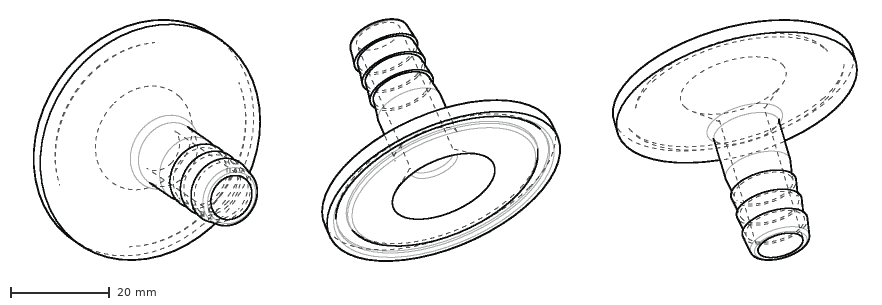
import cadquery as cq
import math


flange_radius = 50.4 / 2
rim_width = 2.9
back_cone_end = 9.5
neck_fillet = 1.6

length = 38.1
tail_radius = 13.7 / 2
barb_start = 19.85
barb_count = 4
barb_pitch = (length - barb_start) / barb_count
barb_root_radius = 6.15
tip_fillet = 0.75

bore_radius = 9.4 / 2
mouth_radius = 11.1
mouth_blend = 1.5
mouth_angle = math.radians(45)

groove_inner_radius = 19.85
groove_outer_radius = 23.85
groove_radius = (groove_inner_radius + groove_outer_radius) / 2
groove_half_width = (groove_outer_radius - groove_inner_radius) / 2
groove_lip_fillet = 0.8
groove_floor_radius = 1.15
groove_wall_draft = math.radians(20)


def revolve_about_x(profile):
    """Turn a closed (axial, radial) profile around the X axis."""
    return profile.close().revolve(360, (0, 0, 0), (1, 0, 0))


def fitting_body():
    profile = (
        cq.Workplane("XY")
        .lineTo(0, flange_radius)
        .lineTo(rim_width, flange_radius)
        .lineTo(back_cone_end, tail_radius)
        .lineTo(barb_start, tail_radius)
    )
    for barb in range(1, barb_count + 1):
        barb_end = barb_start + barb * barb_pitch
        profile = profile.lineTo(barb_end, barb_root_radius)
        if barb < barb_count:
            profile = profile.lineTo(barb_end, tail_radius)
    body = revolve_about_x(profile.lineTo(length, 0))
    neck_corner = cq.selectors.NearestToPointSelector((back_cone_end, 0, 0))
    body = body.edges(neck_corner).fillet(neck_fillet)
    return body.edges(">X").fillet(tip_fillet)


def bore():
    blend_drop = mouth_blend * (1 - math.cos(mouth_angle))
    blend_reach = mouth_blend * math.sin(mouth_angle)
    cone_end_radius = bore_radius + blend_drop
    cone_depth = (mouth_radius - cone_end_radius) / math.tan(mouth_angle)
    profile = (
        cq.Workplane("XY")
        .lineTo(0, mouth_radius)
        .lineTo(cone_depth, cone_end_radius)
        .radiusArc((cone_depth + blend_reach, bore_radius), -mouth_blend)
        .lineTo(length, bore_radius)
        .lineTo(length, 0)
    )
    return revolve_about_x(profile)


def gasket_groove():
    lean = math.sin(groove_wall_draft)
    rise = math.cos(groove_wall_draft)
    lip_depth = groove_lip_fillet * (1 - lean)
    wall_top = groove_half_width - groove_lip_fillet * rise
    wall_bottom = groove_floor_radius * rise
    wall_bottom_depth = lip_depth + (wall_top - wall_bottom) / math.tan(groove_wall_draft)
    depth = wall_bottom_depth + groove_floor_radius * (1 - lean)
    profile = (
        cq.Workplane("XY")
        .moveTo(0, groove_outer_radius)
        .radiusArc((lip_depth, groove_radius + wall_top), -groove_lip_fillet)
        .lineTo(wall_bottom_depth, groove_radius + wall_bottom)
        .threePointArc((depth, groove_radius), (wall_bottom_depth, groove_radius - wall_bottom))
        .lineTo(lip_depth, groove_radius - wall_top)
        .radiusArc((0, groove_inner_radius), -groove_lip_fillet)
    )
    return revolve_about_x(profile)


result = fitting_body().cut(bore()).cut(gasket_groove())